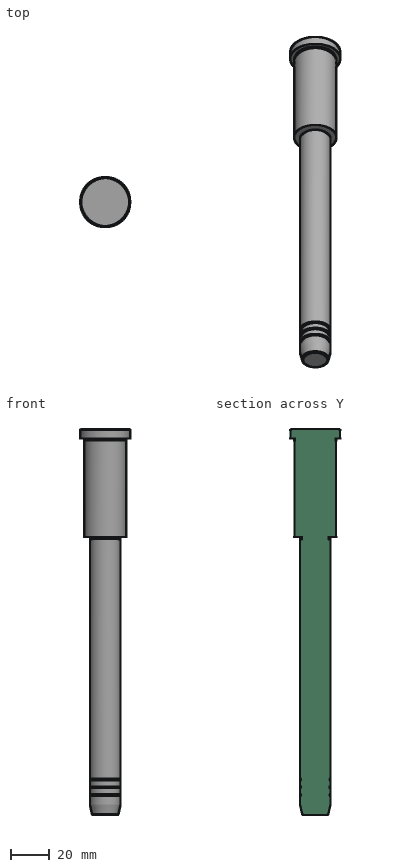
import cadquery as cq

total_height = 200.0
head_diameter = 26.0
body_diameter = 22.0
rod_diameter = 16.0
neck_diameter = 14.0

head_height = 5.0
head_chamfer = 0.5
head_relief_height = 1.0
head_relief_depth = 0.5
body_length = 51.0
neck_length = 1.0

groove_count = 3
groove_spacing = 4.0
groove_width = 1.0
groove_depth = 0.5
groove_start_z = 10.0

taper_height = 5.5
taper_end_diameter = 13.8
tip_chamfer = 0.5

head_bottom_z = total_height - head_height
body_bottom_z = head_bottom_z - body_length
rod_top_z = body_bottom_z - neck_length


def cylinder(diameter, bottom_z, top_z):
    """Solid cylinder on the Z axis between two levels."""
    return cq.Workplane("XY").workplane(offset=bottom_z).circle(diameter / 2).extrude(top_z - bottom_z)


def ring_cut(outer_diameter, depth, bottom_z, width):
    """Ring of material to remove from a cylinder of the given diameter."""
    outer = cylinder(outer_diameter, bottom_z, bottom_z + width)
    core = cylinder(outer_diameter - 2 * depth, bottom_z, bottom_z + width)
    return outer.cut(core)


def v_groove_cut(middle_z):
    """Triangular ring to remove from the rod, with its apex at the given level."""
    rod_radius = rod_diameter / 2
    return (
        cq.Workplane("XZ")
        .moveTo(rod_radius, middle_z - groove_width / 2)
        .lineTo(rod_radius - groove_depth, middle_z)
        .lineTo(rod_radius, middle_z + groove_width / 2)
        .close()
        .revolve(360, (0, 0, 0), (0, 1, 0))
    )


def lead_in():
    """Cone that widens from the chamfered tip up to the rod."""
    tip_radius = taper_end_diameter / 2 - tip_chamfer
    return (
        cq.Workplane("XZ")
        .lineTo(tip_radius, 0)
        .lineTo(taper_end_diameter / 2, tip_chamfer)
        .lineTo(rod_diameter / 2, taper_height)
        .lineTo(0, taper_height)
        .close()
        .revolve(360, (0, 0, 0), (0, 1, 0))
    )


head = cylinder(head_diameter, head_bottom_z, total_height).faces(">Z").edges().chamfer(head_chamfer)
body = cylinder(body_diameter, body_bottom_z, head_bottom_z)
neck = cylinder(neck_diameter, rod_top_z, body_bottom_z)
rod = cylinder(rod_diameter, taper_height, rod_top_z)
result = head.union(body).union(neck).union(rod).union(lead_in())

relief_bottom_z = head_bottom_z - head_relief_height
result = result.cut(ring_cut(body_diameter, head_relief_depth, relief_bottom_z, head_relief_height))

for index in range(groove_count):
    result = result.cut(v_groove_cut(groove_start_z + groove_width / 2 + index * groove_spacing))